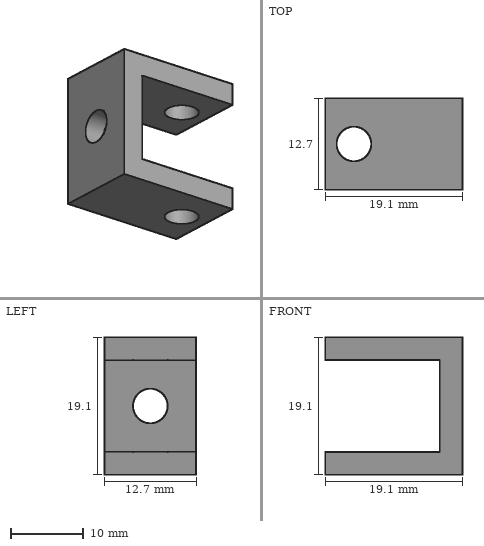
import cadquery as cq

length = 19.05
width = 12.7
height = 19.05

wall = 3.175
hole_diameter = 4.7625
pin_hole_setback = 4.0

open_end_x = -length / 2


def clevis_body():
    """U-shaped bracket, open toward -X and centred on the origin."""
    slot_length = length - wall
    slot_height = height - 2 * wall
    slot_center_x = open_end_x + slot_length / 2
    block = cq.Workplane("XY").box(length, width, height)
    slot = cq.Workplane("XY").box(slot_length, width, slot_height).translate((slot_center_x, 0, 0))
    return block.cut(slot)


def pin_hole():
    """Vertical cylinder passing through both arms."""
    pin_hole_x = open_end_x + pin_hole_setback
    return cq.Workplane("XY").center(pin_hole_x, 0).circle(hole_diameter / 2).extrude(height / 2, both=True)


def web_hole():
    """Horizontal cylinder passing through the middle of the web."""
    return cq.Workplane("YZ").circle(hole_diameter / 2).extrude(length / 2, both=True)


result = clevis_body().cut(pin_hole()).cut(web_hole())